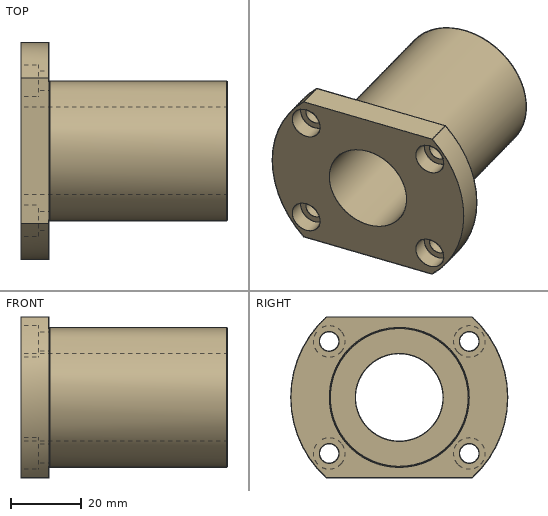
import cadquery as cq

flange_diameter = 62.0
flange_height = 46.0
flange_thickness = 8.0

overall_length = 59.0
sleeve_diameter = 40.0
bore_diameter = 25.0
end_chamfer = 0.3

groove_diameter = 39.4
groove_width = 0.3

hole_diameter = 5.5
counterbore_diameter = 9.0
counterbore_depth = 5.1
hole_spacing_y = 40.0
hole_spacing_z = 32.0


def cylinder_along_x(diameter, start, length):
    return cq.Workplane("YZ", origin=(start, 0, 0)).circle(diameter / 2).extrude(length)


def mounting_holes(diameter, depth):
    return (
        cq.Workplane("YZ")
        .rect(hole_spacing_y, hole_spacing_z, forConstruction=True)
        .vertices()
        .circle(diameter / 2)
        .extrude(depth)
    )


flats = cq.Workplane("XY").box(2 * flange_thickness, flange_diameter, flange_height)
flange = cylinder_along_x(flange_diameter, 0, flange_thickness).intersect(flats)

sleeve_start = flange_thickness + groove_width
sleeve = cylinder_along_x(sleeve_diameter, sleeve_start, overall_length - sleeve_start)
sleeve = sleeve.faces(">X").edges().chamfer(end_chamfer)
neck = cylinder_along_x(groove_diameter, flange_thickness, groove_width)

result = (
    flange.union(neck)
    .union(sleeve)
    .cut(cylinder_along_x(bore_diameter, 0, overall_length))
    .cut(mounting_holes(hole_diameter, flange_thickness))
    .cut(mounting_holes(counterbore_diameter, counterbore_depth))
)